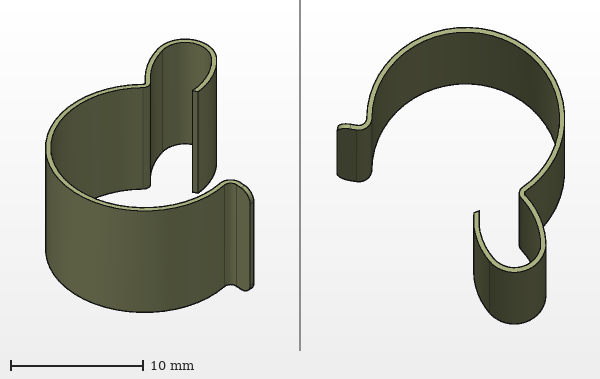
import cadquery as cq
import math

height = 10.0
thickness = 0.4
half_thickness = thickness / 2

ring_radius = 7.5 - half_thickness

foot_bend_radius = 0.8
foot_bend_angle = -21.2
foot_slope = 31.0
foot_length = 1.5
foot_corner_radius = 1.0

neck_bend_radius = 0.4
loop_end_y = 7.45
loop_top_x = 0.22
loop_top_y = 10.89
loop_top_radius = 2.2
loop_left_radius = 6.4
loop_left_join_angle = 163.5
loop_right_radius = 5.4
loop_right_join_angle = 17.4


def polar(centre, radius, angle):
    """Point at a distance and direction (degrees) from a centre."""
    turn = math.radians(angle)
    return (centre[0] + radius * math.cos(turn), centre[1] + radius * math.sin(turn))


def direction(start, end):
    """Direction in degrees from one point to another."""
    return math.degrees(math.atan2(end[1] - start[1], end[0] - start[0]))


def neck_centre(loop_centre):
    """Centre of the neck bend, which touches both the ring and the left arc of the loop."""
    from_ring = ring_radius + neck_bend_radius
    from_loop = loop_left_radius + neck_bend_radius
    span = math.dist(ring_centre, loop_centre)
    cosine = (from_ring**2 + span**2 - from_loop**2) / (2 * from_ring * span)
    angle = direction(ring_centre, loop_centre) + math.degrees(math.acos(cosine))
    return polar(ring_centre, from_ring, angle)


ring_centre = (0.0, 0.0)
foot_centre = polar(ring_centre, ring_radius + foot_bend_radius, foot_bend_angle)
top_centre = (loop_top_x, loop_top_y)
left_centre = polar(top_centre, loop_top_radius - loop_left_radius, loop_left_join_angle)
right_centre = polar(top_centre, loop_top_radius - loop_right_radius, loop_right_join_angle)
neck = neck_centre(left_centre)
neck_ring_angle = direction(ring_centre, neck)
neck_loop_angle = direction(neck, left_centre)
foot_start_angle = 90 - foot_slope


def face_arcs(offset):
    """Arcs of one face of the strip, from foot to loop end, as (centre, radius, start, end).

    A positive offset gives the face outside the ring and the loop.
    """
    right_radius = loop_right_radius + offset
    end_angle = math.degrees(math.asin((loop_end_y - right_centre[1]) / right_radius))
    return [
        (foot_centre, foot_bend_radius - offset, foot_start_angle, foot_bend_angle + 180),
        (ring_centre, ring_radius + offset, foot_bend_angle, neck_ring_angle - 360),
        (neck, neck_bend_radius - offset, neck_ring_angle - 180, neck_loop_angle),
        (left_centre, loop_left_radius + offset, neck_loop_angle + 180, loop_left_join_angle),
        (top_centre, loop_top_radius + offset, loop_left_join_angle, loop_right_join_angle),
        (right_centre, right_radius, loop_right_join_angle, end_angle),
    ]


def foot_tip(offset):
    """Corner of the foot tip on one face of the strip."""
    bend_end = polar(foot_centre, foot_bend_radius - offset, foot_start_angle)
    return polar(bend_end, foot_length, -foot_slope)


def draw_arc(sketch, centre, radius, start, end):
    middle = polar(centre, radius, (start + end) / 2)
    return sketch.threePointArc(middle, polar(centre, radius, end))


def make_strip():
    """Bent strip: up one face, across the loop end and back along the other face."""
    inside = face_arcs(-half_thickness)
    outside = face_arcs(half_thickness)
    sketch = cq.Workplane("XY").moveTo(*foot_tip(-half_thickness))
    sketch = sketch.lineTo(*polar(*inside[0][:3]))
    for centre, radius, start, end in inside:
        sketch = draw_arc(sketch, centre, radius, start, end)
    centre, radius, start, end = outside[-1]
    sketch = sketch.lineTo(*polar(centre, radius, end))
    for centre, radius, start, end in reversed(outside):
        sketch = draw_arc(sketch, centre, radius, end, start)
    sketch = sketch.lineTo(*foot_tip(half_thickness)).close()
    return sketch.extrude(height)


def round_foot_corners(strip):
    """Round the upper and lower corners of the foot tip."""
    tip = foot_tip(0)
    for z in (0, height):
        corner = cq.selectors.NearestToPointSelector((tip[0], tip[1], z))
        strip = strip.edges(corner).fillet(foot_corner_radius)
    return strip


result = round_foot_corners(make_strip())